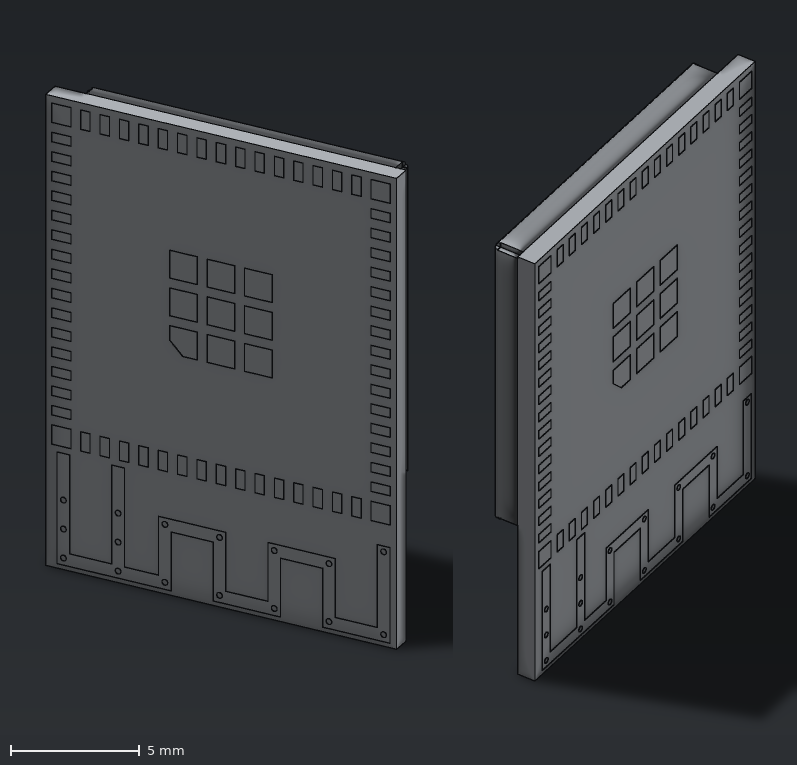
import cadquery as cq


BOARD_WIDTH = 15.4
BOARD_HEIGHT = 20.5
BOARD_THICKNESS = 0.8
COPPER_THICKNESS = 0.02

SHIELD_WIDTH = 14.02
SHIELD_LENGTH = 13.57
SHIELD_DEPTH = 1.6
SHIELD_TOP_MARGIN = 0.5
BEND_RADIUS = 0.2
WALL_NOTCH = 0.23
ROOF_NOTCH = 0.18
FOOT_RADIUS = 0.1
SHIELD_CENTER_Z = BOARD_HEIGHT - SHIELD_TOP_MARGIN - SHIELD_LENGTH / 2

PAD_LENGTH = 0.85
PAD_WIDTH = 0.4
PADS_PER_SIDE = 15
PAD_ROW_SPAN = 11.9
PAD_PITCH = PAD_ROW_SPAN / (PADS_PER_SIDE - 1)
PAD_RING_SIZE = 14.0
PAD_RING_CENTER_Z = 12.77

GROUND_PAD_SIZE = 1.2
GROUND_PAD_PITCH = 1.65
GROUND_PADS_PER_SIDE = 3
KEY_CHAMFER = 0.57

TRACE_WIDTH = 0.55
TRACE_BOTTOM_GAP = 0.2
TRACE_SIDE_GAP = 0.29
LEG_PITCH = 2.4
STUB_TO_MEANDER = 2.05
STUB_TOP = 5.06
MEANDER_TOP = 3.32
TAIL_TOP = 4.37

LOW_RUN_Z = TRACE_BOTTOM_GAP + TRACE_WIDTH / 2
HIGH_RUN_Z = MEANDER_TOP - TRACE_WIDTH / 2
TAIL_X = BOARD_WIDTH / 2 - TRACE_SIDE_GAP - TRACE_WIDTH / 2
MEANDER_XS = [TAIL_X - LEG_PITCH * steps for steps in (4, 3, 2, 1)]
RIGHT_STUB_X = MEANDER_XS[0] - STUB_TO_MEANDER
LEFT_STUB_X = RIGHT_STUB_X - LEG_PITCH

VIA_DIAMETER = 0.25
VIA_LOW_Z = 0.51
VIA_HIGH_Z = 3.03
VIA_MIDDLE_Z = (VIA_LOW_Z + VIA_HIGH_Z) / 2
VIA_TAIL_Z = 4.12


def front_sheet(centers, width, height):
    """Copper rectangles lying on the front face, centred on the given (x, z) points."""
    return (
        cq.Workplane("XZ")
        .pushPoints(centers)
        .rect(width, height)
        .extrude(COPPER_THICKNESS)
    )


def folded_profile(plane, size, length):
    """Solid with rounded back edges and flared feet across `size`, extruded along `length`.

    In the sketch the first axis runs across the shield and the second is the global Y.
    """
    half = size / 2
    foot = BOARD_THICKNESS
    back = BOARD_THICKNESS + SHIELD_DEPTH
    diagonal = 0.5 ** 0.5
    foot_mid = FOOT_RADIUS * (1 - diagonal)
    bend_mid = BEND_RADIUS * (1 - diagonal)
    return (
        cq.Workplane(plane)
        .moveTo(-half - FOOT_RADIUS, foot)
        .lineTo(half + FOOT_RADIUS, foot)
        .threePointArc((half + foot_mid, foot + foot_mid), (half, foot + FOOT_RADIUS))
        .lineTo(half, back - BEND_RADIUS)
        .threePointArc((half - bend_mid, back - bend_mid), (half - BEND_RADIUS, back))
        .lineTo(-half + BEND_RADIUS, back)
        .threePointArc((-half + bend_mid, back - bend_mid), (-half, back - BEND_RADIUS))
        .lineTo(-half, foot + FOOT_RADIUS)
        .threePointArc((-half - foot_mid, foot + foot_mid), (-half - FOOT_RADIUS, foot))
        .close()
        .extrude(length / 2, both=True)
    )


def make_board():
    return cq.Workplane("XY").box(
        BOARD_WIDTH, BOARD_THICKNESS, BOARD_HEIGHT, centered=(True, False, False)
    )


def make_shield():
    """Two crossing folded solids, notched at each corner a little deeper in the walls than in the roof."""
    side_folds = folded_profile("XY", SHIELD_WIDTH, SHIELD_LENGTH - 2 * ROOF_NOTCH)
    end_folds = folded_profile("ZY", SHIELD_LENGTH, SHIELD_WIDTH - 2 * ROOF_NOTCH)
    wall_depth = SHIELD_DEPTH - BEND_RADIUS
    wall_notches = (
        cq.Workplane("XZ", origin=(0, BOARD_THICKNESS, 0))
        .rect(SHIELD_WIDTH, SHIELD_LENGTH, forConstruction=True)
        .vertices()
        .rect(2 * WALL_NOTCH, 2 * WALL_NOTCH)
        .extrude(-wall_depth)
    )
    return side_folds.union(end_folds).cut(wall_notches).translate((0, 0, SHIELD_CENTER_Z))


def make_edge_pads():
    half_ring = PAD_RING_SIZE / 2
    offsets = [PAD_PITCH * i - PAD_ROW_SPAN / 2 for i in range(PADS_PER_SIDE)]
    sides = (-half_ring, half_ring)
    columns = [(x, PAD_RING_CENTER_Z + offset) for x in sides for offset in offsets]
    rows = [(offset, PAD_RING_CENTER_Z + z) for z in sides for offset in offsets]
    corners = [(x, PAD_RING_CENTER_Z + z) for x in sides for z in sides]
    return (
        front_sheet(columns, PAD_LENGTH, PAD_WIDTH)
        .add(front_sheet(rows, PAD_WIDTH, PAD_LENGTH))
        .add(front_sheet(corners, PAD_LENGTH, PAD_LENGTH))
    )


def make_ground_pads():
    """Grid of square pads; the lower left one has a chamfered corner."""
    reach = GROUND_PAD_PITCH * (GROUND_PADS_PER_SIDE - 1) / 2
    offsets = [GROUND_PAD_PITCH * i - reach for i in range(GROUND_PADS_PER_SIDE)]
    centers = [(x, PAD_RING_CENTER_Z + z) for x in offsets for z in offsets]
    key_x = -reach - GROUND_PAD_SIZE / 2
    key_z = PAD_RING_CENTER_Z - reach - GROUND_PAD_SIZE / 2
    key_corner = (
        cq.Workplane("XZ")
        .polyline([(key_x, key_z), (key_x + KEY_CHAMFER, key_z), (key_x, key_z + KEY_CHAMFER)])
        .close()
        .extrude(COPPER_THICKNESS)
    )
    return front_sheet(centers, GROUND_PAD_SIZE, GROUND_PAD_SIZE).cut(key_corner)


def trace_leg(x, top):
    """Vertical piece of trace from the bottom of the antenna up to `top`."""
    height = top - TRACE_BOTTOM_GAP
    return front_sheet([(x, TRACE_BOTTOM_GAP + height / 2)], TRACE_WIDTH, height)


def trace_run(x_start, x_end, z):
    """Horizontal piece of trace joining two leg centre lines."""
    return front_sheet([((x_start + x_end) / 2, z)], x_end - x_start + TRACE_WIDTH, TRACE_WIDTH)


def make_antenna():
    first, second, third, fourth = MEANDER_XS
    antenna = trace_leg(LEFT_STUB_X, STUB_TOP).union(trace_leg(RIGHT_STUB_X, STUB_TOP))
    for x in MEANDER_XS:
        antenna = antenna.union(trace_leg(x, MEANDER_TOP))
    antenna = antenna.union(trace_leg(TAIL_X, TAIL_TOP))
    for x_start, x_end in ((LEFT_STUB_X, first), (second, third), (fourth, TAIL_X)):
        antenna = antenna.union(trace_run(x_start, x_end, LOW_RUN_Z))
    for x_start, x_end in ((first, second), (third, fourth)):
        antenna = antenna.union(trace_run(x_start, x_end, HIGH_RUN_Z))

    stub_xs = [LEFT_STUB_X, RIGHT_STUB_X]
    vias = [(x, VIA_LOW_Z) for x in stub_xs + MEANDER_XS + [TAIL_X]]
    vias += [(x, VIA_MIDDLE_Z) for x in stub_xs]
    vias += [(x, VIA_HIGH_Z) for x in stub_xs + MEANDER_XS]
    vias.append((TAIL_X, VIA_TAIL_Z))
    via_holes = (
        cq.Workplane("XZ").pushPoints(vias).circle(VIA_DIAMETER / 2).extrude(COPPER_THICKNESS)
    )
    return antenna.cut(via_holes)


result = make_board().union(make_shield())
for copper in (make_edge_pads(), make_ground_pads(), make_antenna()):
    for piece in copper.vals():
        result = result.union(cq.Workplane(piece))